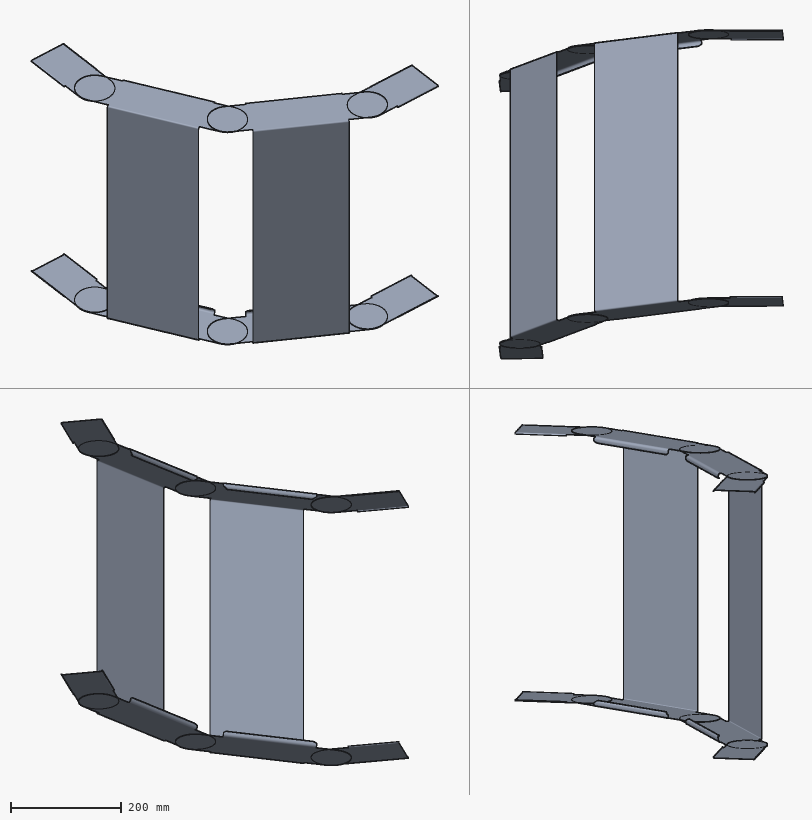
import cadquery as cq
import math


total_length = 718.0
hinge_turn = 30
turn = math.radians(hinge_turn)

sheet = 1.15
bend_radius = 2.7
curl_radius = 5.0

round_radius = 36.5
fold_clearance = 40.0
link_length = 135.0
link_half_width = 39.0
link_fold_length = link_length - fold_clearance

link_reach = (link_length + link_half_width) * (math.cos(turn) + math.sin(turn))
hinge_spacing = (total_length - link_reach) / (1 + math.cos(turn))

panel_height = 500.0
panel_half_depth = 42.5
panel_fold_length = hinge_spacing - 2 * fold_clearance
hem_height = 12.0
hem_taper = 8.0


def rounded_bar(length, depth, height, radius):
    """Bar along +X from X=0, centred on Y and standing on Z=0, with its long edges rounded."""
    bar = cq.Workplane("XY").box(length, depth, height, centered=(False, True, False))
    return bar.edges("|X").fillet(radius)


def folded_tube(length, depth, height, radius):
    """Thin rectangular tube along +X whose four walls are joined by sheet bends."""
    outside = rounded_bar(length, depth, height, radius)
    inside = rounded_bar(length, depth - 2 * sheet, height - 2 * sheet, radius - sheet)
    return outside.cut(inside.translate((0, 0, sheet)))


def round_end(x):
    """Disc of sheet about a hinge axis at X=x."""
    return cq.Workplane("XY").center(x, 0).circle(round_radius).extrude(sheet)


def flat_strip(length):
    """Flat sheet of plate width along +X from the hinge axis."""
    return cq.Workplane("XY").box(length, 2 * round_radius, sheet, centered=(False, True, False))


def make_hem():
    """Rear edge of a panel's bottom plate: turned up, then curled forward with tapered corners."""
    tube = folded_tube(panel_fold_length, 2 * panel_half_depth, hem_height, curl_radius)
    curl_start = hem_height - curl_radius
    profile = (
        cq.Workplane("XZ")
        .moveTo(0, 0)
        .lineTo(panel_fold_length, 0)
        .lineTo(panel_fold_length, curl_start)
        .lineTo(panel_fold_length - hem_taper, hem_height)
        .lineTo(hem_taper, hem_height)
        .lineTo(0, curl_start)
        .close()
        .extrude(-curl_radius)
    )
    return tube.intersect(profile.translate((0, panel_half_depth - curl_radius, 0)))


def make_panel():
    """Front wall with a hinge plate folded back at its bottom and top, each with a rear hem."""
    channel = folded_tube(panel_fold_length, 2 * panel_half_depth, panel_height, bend_radius)
    rear_zone = cq.Workplane("XY").box(
        panel_fold_length, curl_radius, panel_height, centered=(False, False, False)
    )
    channel = channel.cut(rear_zone.translate((0, panel_half_depth - curl_radius, 0)))
    bottom_hem = make_hem()
    top_hem = bottom_hem.mirror("XY").translate((0, 0, panel_height))
    panel = channel.union(bottom_hem).union(top_hem).translate((fold_clearance, 0, 0))

    plate = round_end(0).union(round_end(hinge_spacing))
    for start in (0, hinge_spacing - fold_clearance):
        plate = plate.union(flat_strip(fold_clearance).translate((start, 0, 0)))
    for level in (0, panel_height - sheet):
        panel = panel.union(plate.translate((0, 0, level)))
    return panel


def make_link():
    """Flat link with a round hinge end, a square far end and both long edges turned up."""
    tube = folded_tube(link_fold_length, 2 * link_half_width, 2 * bend_radius + sheet, bend_radius)
    lower_part = cq.Workplane("XY").box(
        link_fold_length, 2 * link_half_width, bend_radius, centered=(False, True, False)
    )
    tray = tube.intersect(lower_part).translate((fold_clearance, 0, 0))
    return tray.union(round_end(0)).union(flat_strip(fold_clearance))


def place(body, angle, hinge):
    """Turn a member about its own hinge axis, then move that axis to the given point."""
    return body.rotate((0, 0, 0), (0, 0, 1), angle).translate(hinge)


second_panel_base = sheet
first_hinge = (0, 0)
middle_hinge = (hinge_spacing, 0)
last_hinge = (hinge_spacing * (1 + math.cos(turn)), hinge_spacing * math.sin(turn))

first_panel = make_panel()
second_panel = place(make_panel(), hinge_turn, (*middle_hinge, second_panel_base))

link_spots = [
    (first_hinge, 180 - hinge_turn, 0),
    (last_hinge, 2 * hinge_turn, second_panel_base),
]
links = []
for hinge, angle, panel_base in link_spots:
    bottom_link = make_link()
    top_link = bottom_link.mirror("XY")
    bottom_level = panel_base + sheet
    top_level = panel_base + panel_height - sheet
    links.append(place(bottom_link, angle, (*hinge, bottom_level)))
    links.append(place(top_link, angle, (*hinge, top_level)))

result = cq.Compound.makeCompound(
    [first_panel.val(), second_panel.val(), *[link.val() for link in links]]
)